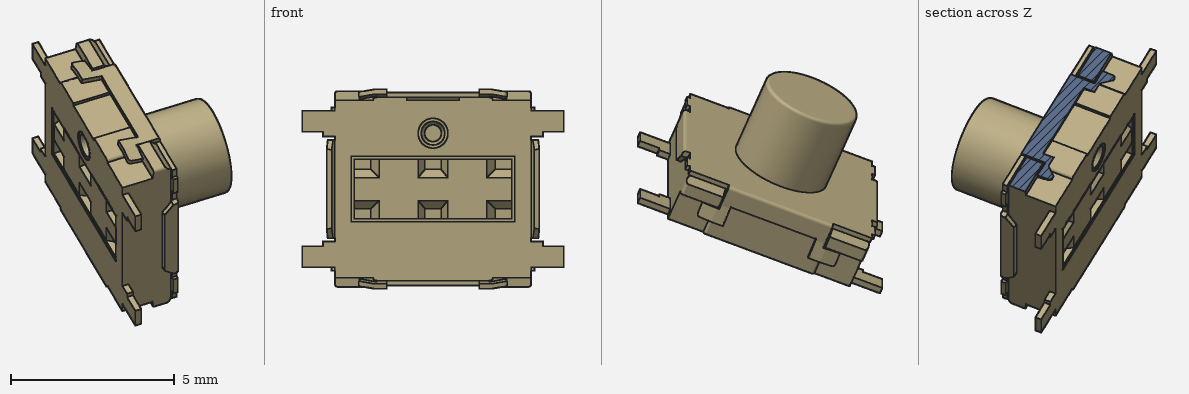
import cadquery as cq
import math


overall_x = 8.0
overall_y = 4.3
overall_z = 6.1
root_overlap = 0.08

body_half_x = 3.0
shoulder_half_z = 2.99
rib_half_z = 2.8
relief_half_z = 2.7
rib_half_x = 1.83
rib_fillet = rib_half_z - relief_half_z
body_top_y = 1.65
shoulder_bottom_y = 1.01
shoulder_draft_rise = 0.04
shoulder_chamfer_z = shoulder_half_z - rib_half_z
shoulder_chamfer_y = 0.22
shoulder_corner_radius = 0.1
side_edge_radius = 0.11
shoulder_inner_x = 1.76
notch_half_x = 0.81
notch_bend = 0.11

frame_depth = 0.03
frame_width = 0.1
frame_half_x = 2.5
frame_half_z = 1.0
panel_depth = 0.05
pocket_depth = 0.36
pocket_slope = 0.25
middle_pocket_slope = 0.2
side_pocket_x = 1.65
middle_pocket_x = 0.45
pocket_z = 0.35
hole_z = 1.7
hole_radius = 0.46
hole_floor_radius = 0.26
hole_depth = 0.25

terminal_thickness = 0.2
terminal_z_outer = 2.39
terminal_z_inner = 1.74
terminal_foot_x = 3.36
terminal_foot_z = 1.6

sheet = 0.15
cover_top_y = body_top_y + sheet
bend_radius = 0.1
flange_half_x = 1.72
flange_outer_z = rib_half_z + sheet
flange_bottom_y = 1.19
ear_half_x = 3.1
ear_z_inner = 1.89
ear_z_outer = 2.5

wing_half_z = 1.5
wing_tip_half_z = 1.2
wing_tip_y = 1.3
wing_tip_drop = 0.02
wing_taper_y = 1.6
wing_bend_x = 3.21
wing_tip_x = 3.25

arm_inner_x = 1.41
arm_pivot_y = 1.14
arm_tip_y = 0.54
arm_bend_x = 1.79
hook_end_x = 2.28
hook_top_y = shoulder_bottom_y
hook_corner_radius = 0.1
hook_bend_angle = 10.0

button_radius = 1.5
button_edge_radius = 0.1


def block(x0, x1, y0, y1, z0, z1):
    """Box between two opposite corners."""
    return cq.Workplane("XY").box(x1 - x0, y1 - y0, z1 - z0, centered=False).translate((x0, y0, z0))


def centred_block(half_x, y0, y1, half_z):
    """Box centred on the switch axis."""
    return block(-half_x, half_x, y0, y1, -half_z, half_z)


def with_mirror(shape, plane):
    """Shape together with its mirror image."""
    return shape.union(shape.mirror(plane))


def make_housing():
    lower = centred_block(body_half_x, 0, body_top_y, relief_half_z)
    rib_height = shoulder_bottom_y + shoulder_draft_rise
    rib = centred_block(rib_half_x, 0, rib_height, rib_half_z).edges("|Y").fillet(rib_fillet)
    shoulder_profile = [
        (shoulder_bottom_y, relief_half_z),
        (shoulder_bottom_y + shoulder_draft_rise, shoulder_half_z),
        (body_top_y - shoulder_chamfer_y, shoulder_half_z),
        (body_top_y, shoulder_half_z - shoulder_chamfer_z),
        (body_top_y, 0),
        (shoulder_bottom_y, 0),
    ]
    shoulder = cq.Workplane("YZ").polyline(shoulder_profile).close().extrude(body_half_x, both=True)
    shoulder = with_mirror(shoulder, "XY")
    rounded = centred_block(body_half_x, 0, body_top_y, shoulder_half_z)
    rounded = rounded.edges("|Y").fillet(shoulder_corner_radius)
    shoulder = shoulder.intersect(rounded)
    flange_seat = block(-shoulder_inner_x, shoulder_inner_x, 0, body_top_y, rib_half_z, shoulder_half_z)
    shoulder = shoulder.cut(with_mirror(flange_seat, "XY"))
    housing = lower.union(rib).union(shoulder)
    side_envelope = centred_block(body_half_x, 0, body_top_y, shoulder_half_z)
    side_envelope = side_envelope.edges("|Z and >Y").fillet(side_edge_radius)
    notch = block(-notch_half_x, notch_half_x, 0, body_top_y, relief_half_z - notch_bend, rib_half_z)
    notch = notch.edges("|X and >Y and >Z").fillet(notch_bend)
    notch = notch.intersect(block(-notch_half_x, notch_half_x, 0, body_top_y, relief_half_z, rib_half_z))
    return housing.intersect(side_envelope).cut(notch)


def make_pocket(x_open, x_floor, z_open, z_floor):
    """Tapered pocket from the recessed panel; each argument is a (low, high) range."""
    def sketch(plane, x_range, z_range):
        middle_x = sum(x_range) / 2
        middle_z = sum(z_range) / 2
        rectangle = plane.center(middle_x, middle_z).rect(x_range[1] - x_range[0], z_range[1] - z_range[0])
        return rectangle.center(-middle_x, -middle_z)

    opening = sketch(cq.Workplane("XZ", origin=(0, panel_depth, 0)), x_open, z_open)
    floor = sketch(opening.workplane(offset=-pocket_depth), x_floor, z_floor)
    return floor.loft(ruled=True)


def make_face_cuts():
    panel_half_x = frame_half_x - frame_width
    panel_half_z = frame_half_z - frame_width
    cuts = centred_block(frame_half_x, 0, frame_depth, frame_half_z)
    cuts = cuts.union(centred_block(panel_half_x, 0, panel_depth, panel_half_z))

    z_open = (pocket_z, panel_half_z)
    z_floor = (pocket_z + pocket_slope, panel_half_z)
    side_pocket = make_pocket(
        (side_pocket_x, panel_half_x), (side_pocket_x + pocket_slope, panel_half_x), z_open, z_floor
    )
    middle_floor_x = middle_pocket_x - middle_pocket_slope
    middle_pocket = make_pocket(
        (-middle_pocket_x, middle_pocket_x), (-middle_floor_x, middle_floor_x), z_open, z_floor
    )
    pockets = with_mirror(side_pocket, "YZ").union(middle_pocket)
    cuts = cuts.union(with_mirror(pockets, "XY"))

    rim_radius = hole_radius - frame_width
    hole = (
        cq.Workplane("XY")
        .polyline([
            (0, 0),
            (hole_radius, 0),
            (hole_radius, frame_depth),
            (rim_radius, frame_depth),
            (hole_floor_radius, hole_depth),
            (0, hole_depth),
        ])
        .close()
        .revolve(360, (0, 0, 0), (0, 1, 0))
        .translate((0, 0, hole_z))
    )
    return cuts.union(hole)


def make_terminals():
    root_x = body_half_x - root_overlap
    lead = block(root_x, overall_x / 2, 0, terminal_thickness, terminal_z_inner, terminal_z_outer)
    foot = block(root_x, terminal_foot_x, 0, terminal_thickness, terminal_foot_z, terminal_z_outer)
    return with_mirror(with_mirror(lead.union(foot), "YZ"), "XY")


def make_cover_plate():
    plate = centred_block(body_half_x, body_top_y, cover_top_y, rib_half_z)
    ear = block(0, ear_half_x, body_top_y, cover_top_y, ear_z_inner, ear_z_outer)
    ears = with_mirror(with_mirror(ear, "YZ"), "XY")
    flanged = centred_block(flange_half_x, body_top_y, cover_top_y, flange_outer_z)
    middle_leg = block(-arm_inner_x, arm_inner_x, flange_bottom_y, cover_top_y, rib_half_z, flange_outer_z)
    outer_leg = block(arm_inner_x, flange_half_x, arm_pivot_y, cover_top_y, rib_half_z, flange_outer_z)
    flange = middle_leg.union(with_mirror(outer_leg, "YZ"))
    flanged = flanged.union(with_mirror(flange, "XY"))
    flanged = flanged.edges("|X and >Y").fillet(bend_radius)
    return plate.union(ears).union(flanged)


def make_wing():
    """Side wing on +X: bent down from the plate, leaning outward, with a tapered tip."""
    root_x = body_half_x - root_overlap
    inner_bend_x = wing_bend_x - sheet
    inner_tip_y = wing_tip_y - wing_tip_drop
    diagonal = bend_radius * (1 - math.sqrt(0.5))
    section = (
        cq.Workplane("XY")
        .moveTo(root_x, cover_top_y)
        .lineTo(wing_bend_x - bend_radius, cover_top_y)
        .threePointArc(
            (wing_bend_x - diagonal, cover_top_y - diagonal), (wing_bend_x, cover_top_y - bend_radius)
        )
        .lineTo(wing_tip_x, wing_tip_y)
        .lineTo(wing_tip_x - sheet, inner_tip_y)
        .lineTo(inner_bend_x, body_top_y - bend_radius)
        .threePointArc(
            (inner_bend_x - diagonal, body_top_y - diagonal), (inner_bend_x - bend_radius, body_top_y)
        )
        .lineTo(root_x, body_top_y)
        .close()
        .extrude(wing_half_z, both=True)
    )
    outline = (
        cq.Workplane("YZ")
        .polyline([
            (cover_top_y, -wing_half_z),
            (wing_taper_y, -wing_half_z),
            (inner_tip_y, -wing_tip_half_z),
            (inner_tip_y, wing_tip_half_z),
            (wing_taper_y, wing_half_z),
            (cover_top_y, wing_half_z),
        ])
        .close()
        .extrude(overall_x / 2)
    )
    return section.intersect(outline)


def make_latch_arm():
    """Arm at +X, +Z: leans outward from the flange, with a hook bent back toward the housing."""
    inner_z = flange_outer_z - sheet
    arm = block(arm_inner_x, arm_bend_x, arm_tip_y, hook_top_y, inner_z, flange_outer_z)
    neck = block(arm_inner_x, flange_half_x, arm_tip_y, arm_pivot_y + root_overlap, inner_z, flange_outer_z)
    hook = block(arm_bend_x, hook_end_x, arm_tip_y, hook_top_y, inner_z, flange_outer_z)
    hook = hook.edges("|Z and >X and <Y").fillet(hook_corner_radius)
    hook = hook.rotate(
        (arm_bend_x, 0, flange_outer_z), (arm_bend_x, 1, flange_outer_z), hook_bend_angle
    )
    reach = arm_pivot_y - arm_tip_y
    lean_angle = math.degrees(math.asin((overall_z / 2 - flange_outer_z) / reach))
    pivot = (0, arm_pivot_y, flange_outer_z)
    pivot_end = (1, arm_pivot_y, flange_outer_z)
    return arm.union(neck).union(hook).rotate(pivot, pivot_end, -lean_angle)


def make_button():
    button = cq.Workplane("XZ", origin=(0, body_top_y, 0)).circle(button_radius)
    return button.extrude(body_top_y - overall_y).faces(">Y").edges().fillet(button_edge_radius)


housing = make_housing().union(make_terminals()).cut(make_face_cuts())
arms = with_mirror(with_mirror(make_latch_arm(), "YZ"), "XY")
wings = with_mirror(make_wing(), "YZ")
result = housing.union(make_cover_plate()).union(wings).union(arms).union(make_button())